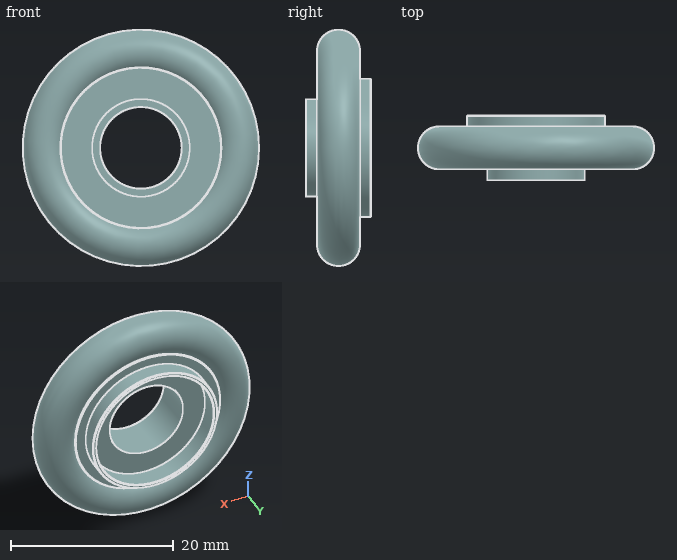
import cadquery as cq
import math

overall_diameter = 29.08
overall_width = 8.0

ring_section_radius = 5.32 / 2
ring_centre_radius = overall_diameter / 2 - ring_section_radius

edge_chamfer = 0.1
bore_radius = 10.0 / 2
boss_radius = 12.0 / 2
disc_radius = 9.92
disc_width = 3.9
flange_radius = 17.0 / 2
recess_radius = 16.0 / 2
recess_depth = 2.5

front_y = -overall_width / 2
back_y = overall_width / 2
disc_front_y = -disc_width / 2
disc_back_y = disc_width / 2


def make_ring():
    """Round-section ring lying in the XZ plane."""
    return cq.Workplane("XY").center(ring_centre_radius, 0).circle(ring_section_radius).revolve(
        360, (-ring_centre_radius, 0), (-ring_centre_radius, 1)
    )


def make_hub():
    """Turned hub: front boss, grooved disc, and rear flange with a recess."""
    groove_half_width = math.sqrt(ring_section_radius**2 - (ring_centre_radius - disc_radius) ** 2)
    groove_floor_radius = ring_centre_radius - ring_section_radius
    return (
        cq.Workplane("XY")
        .moveTo(bore_radius, front_y)
        .lineTo(boss_radius, front_y)
        .lineTo(boss_radius, disc_front_y)
        .lineTo(disc_radius - edge_chamfer, disc_front_y)
        .lineTo(disc_radius, disc_front_y + edge_chamfer)
        .lineTo(disc_radius, -groove_half_width)
        .threePointArc((groove_floor_radius, 0), (disc_radius, groove_half_width))
        .lineTo(disc_radius, disc_back_y - edge_chamfer)
        .lineTo(disc_radius - edge_chamfer, disc_back_y)
        .lineTo(flange_radius, disc_back_y)
        .lineTo(flange_radius, back_y - edge_chamfer)
        .lineTo(flange_radius - edge_chamfer, back_y)
        .lineTo(recess_radius + edge_chamfer, back_y)
        .lineTo(recess_radius, back_y - edge_chamfer)
        .lineTo(recess_radius, back_y - recess_depth)
        .lineTo(bore_radius, back_y - recess_depth)
        .close()
        .revolve(360, (0, 0), (0, 1))
    )


ring = make_ring()
hub = make_hub()

result = cq.Compound.makeCompound([hub.val(), ring.val()])